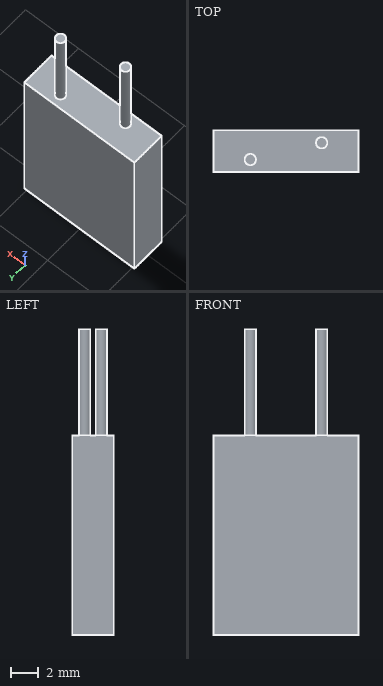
import cadquery as cq

body_width = 10.4
body_depth = 3.0
body_height = 14.3

overall_height = 21.9
lead_diameter = 0.81
lead_pitch = 5.1
lead_stagger = 1.2
lead_length = overall_height - body_height


def make_body():
    """Plain block with its base on Z = 0."""
    return cq.Workplane("XY").box(body_width, body_depth, body_height, centered=(True, True, False))


def add_leads(body):
    """Leads at opposite corners of the pitch-by-stagger rectangle."""
    lead_positions = [(side * lead_pitch / 2, side * lead_stagger / 2) for side in (-1, 1)]
    leads = (
        cq.Workplane("XY")
        .workplane(offset=body_height)
        .pushPoints(lead_positions)
        .circle(lead_diameter / 2)
        .extrude(lead_length)
    )
    return body.union(leads)


result = add_leads(make_body())